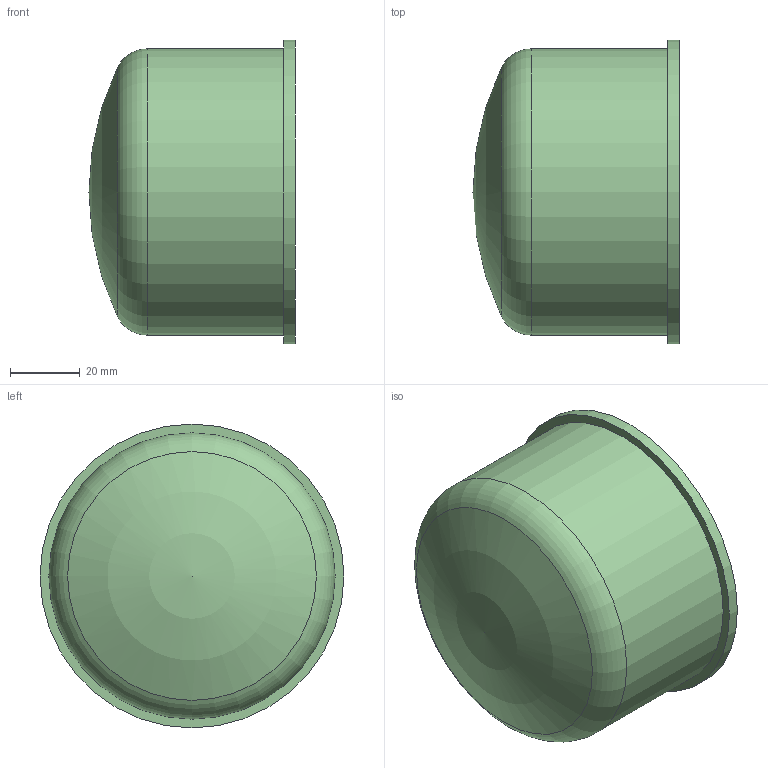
import cadquery as cq
import math

total_length = 59.0
flange_diameter = 87.0
flange_thickness = 3.25
body_diameter = 82.0
crown_radius = 82.0
knuckle_radius = 9.5

body_radius = body_diameter / 2
flange_radius = flange_diameter / 2
flange_start = total_length - flange_thickness

knuckle_center_r = body_radius - knuckle_radius
center_distance = crown_radius - knuckle_radius
knuckle_center_x = crown_radius - math.sqrt(center_distance**2 - knuckle_center_r**2)
crown_edge_angle = math.asin(knuckle_center_r / center_distance)


def crown_point(angle):
    """Point (x, r) on the crown at an angle from the axis."""
    return (
        crown_radius * (1 - math.cos(angle)),
        crown_radius * math.sin(angle),
    )


def knuckle_point(angle):
    """Point (x, r) on the knuckle at an angle from the axis."""
    return (
        knuckle_center_x - knuckle_radius * math.cos(angle),
        knuckle_center_r + knuckle_radius * math.sin(angle),
    )


def domed_cap():
    """Solid of revolution: domed end, cylindrical body and flange."""
    knuckle_middle_angle = (crown_edge_angle + math.pi / 2) / 2
    half_section = (
        cq.Workplane("XY")
        .moveTo(0, 0)
        .threePointArc(crown_point(crown_edge_angle / 2), crown_point(crown_edge_angle))
        .threePointArc(knuckle_point(knuckle_middle_angle), (knuckle_center_x, body_radius))
        .lineTo(flange_start, body_radius)
        .lineTo(flange_start, flange_radius)
        .lineTo(total_length, flange_radius)
        .lineTo(total_length, 0)
        .close()
    )
    return half_section.revolve(360, (0, 0, 0), (1, 0, 0))


result = domed_cap()